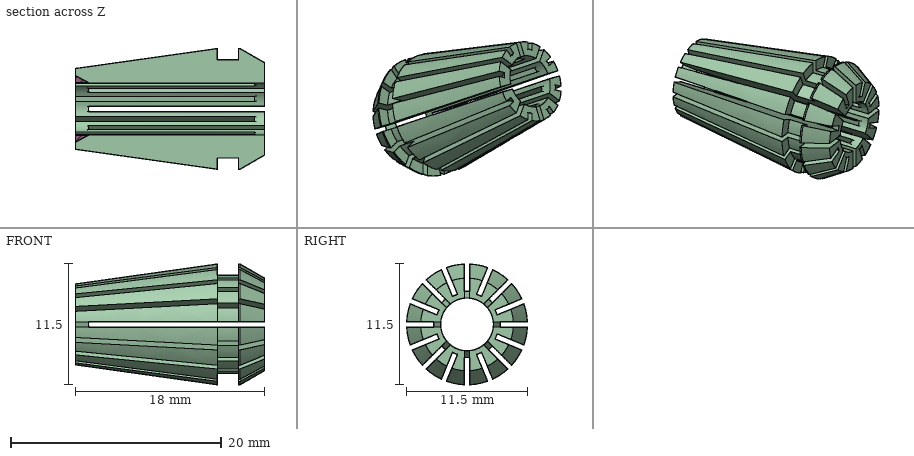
import cadquery as cq
import math


length = 18
max_radius = 5.76
bore_radius = 2.5
neck_radius = 4.7
body_cone_length = 13.5
neck_end = 15.5
lip_width = 0.16
body_cone_angle = 8
nose_angle = 30

slots_per_end = 8
slot_width = 0.5
floor_angle = 28
front_web_height = 0.67
rear_web_height = 0.5
overrun = 0.9


def taper(run, angle):
    """Radius change over an axial run of a cone."""
    return run * math.tan(math.radians(angle))


def turned_body():
    nose_start = neck_end + lip_width
    small_end_radius = max_radius - taper(body_cone_length, body_cone_angle)
    nose_end_radius = max_radius - taper(length - nose_start, nose_angle)
    profile = [
        (0, bore_radius),
        (0, small_end_radius),
        (body_cone_length, max_radius),
        (body_cone_length, neck_radius),
        (neck_end, neck_radius),
        (neck_end, max_radius),
        (nose_start, max_radius),
        (length, nose_end_radius),
        (length, bore_radius),
    ]
    return cq.Workplane("XY").polyline(profile).close().revolve(360, (0, 0, 0), (1, 0, 0))


def slot_cutter(closed_end, inward, web_height):
    """Cutter on the +Z side, leaving a sloping web at X = closed_end.

    inward is +1 or -1, the X direction from the closed end into the part.
    """
    inner_z = bore_radius - overrun
    outer_z = max_radius + overrun
    end_z = bore_radius + web_height + taper(overrun, floor_angle)
    closed_x = closed_end - inward * overrun
    floor_run = (end_z - inner_z) / math.tan(math.radians(floor_angle))
    open_x = closed_end + inward * (length + overrun)
    profile = [
        (closed_x, outer_z),
        (closed_x, end_z),
        (closed_x + inward * floor_run, inner_z),
        (open_x, inner_z),
        (open_x, outer_z),
    ]
    return cq.Workplane("XZ").polyline(profile).close().extrude(slot_width / 2, both=True)


def cut_slots(body, cutter, first_angle):
    pitch = 360 / slots_per_end
    for index in range(slots_per_end):
        body = body.cut(cutter.rotate((0, 0, 0), (1, 0, 0), first_angle + index * pitch))
    return body


nose_slot_cutter = slot_cutter(0, 1, front_web_height)
small_end_slot_cutter = slot_cutter(length, -1, rear_web_height)

result = turned_body()
result = cut_slots(result, nose_slot_cutter, 0)
result = cut_slots(result, small_end_slot_cutter, 180 / slots_per_end)